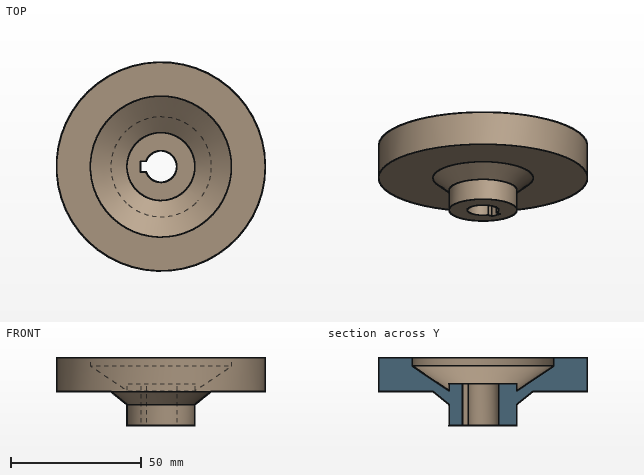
import cadquery as cq

rim_radius = 40.0
rim_width = 13.0
total_height = 26.0
rim_bottom = total_height - rim_width

hub_radius = 13.0
hub_top = 16.0

web_bottom_at_hub = 8.0
web_bottom_radius_at_rim = 19.2
web_top_at_hub = 13.4

recess_radius = 27.0
recess_wall_depth = 3.2

bore_diameter = 12.0
keyway_width = 4.0
keyway_reach = 7.8


def make_body():
    """Revolve the half section (radius, height) about the Z axis."""
    section = (
        cq.Workplane("XZ")
        .moveTo(0, 0)
        .lineTo(hub_radius, 0)
        .lineTo(hub_radius, web_bottom_at_hub)
        .lineTo(web_bottom_radius_at_rim, rim_bottom)
        .lineTo(rim_radius, rim_bottom)
        .lineTo(rim_radius, total_height)
        .lineTo(recess_radius, total_height)
        .lineTo(recess_radius, total_height - recess_wall_depth)
        .lineTo(hub_radius, web_top_at_hub)
        .lineTo(hub_radius, hub_top)
        .lineTo(0, hub_top)
        .close()
    )
    return section.revolve(360, (0, 0, 0), (0, 1, 0))


def make_keyed_bore():
    """Through bore with a keyway on its -X side."""
    bore = cq.Workplane("XY").circle(bore_diameter / 2).extrude(hub_top)
    keyway = (
        cq.Workplane("XY")
        .center(-keyway_reach / 2, 0)
        .rect(keyway_reach, keyway_width)
        .extrude(hub_top)
    )
    return bore.union(keyway)


result = make_body().cut(make_keyed_bore())